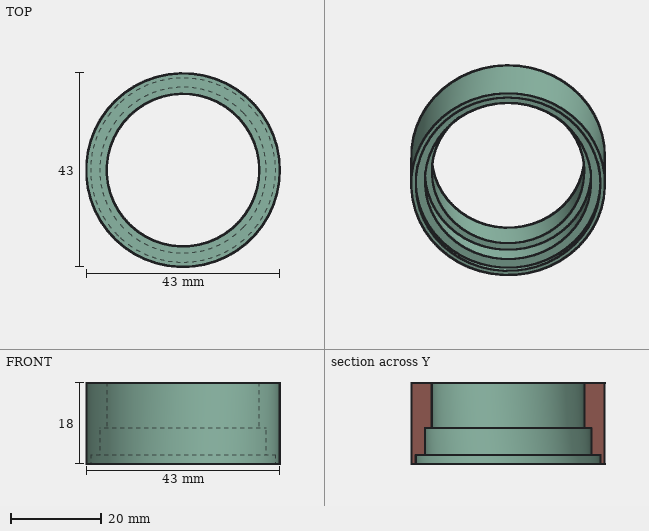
import cadquery as cq

outer_diameter = 43.0
height = 18.0
bore_diameter = 33.8

inner_recess_diameter = 36.9
inner_recess_depth = 8.0
outer_recess_diameter = 41.0
outer_recess_depth = 2.0


def disc(diameter, thickness):
    """Solid disc standing on the bottom plane, centred on the ring axis."""
    return cq.Workplane("XY").circle(diameter / 2).extrude(thickness)


result = (
    disc(outer_diameter, height)
    .cut(disc(bore_diameter, height))
    .cut(disc(inner_recess_diameter, inner_recess_depth))
    .cut(disc(outer_recess_diameter, outer_recess_depth))
)